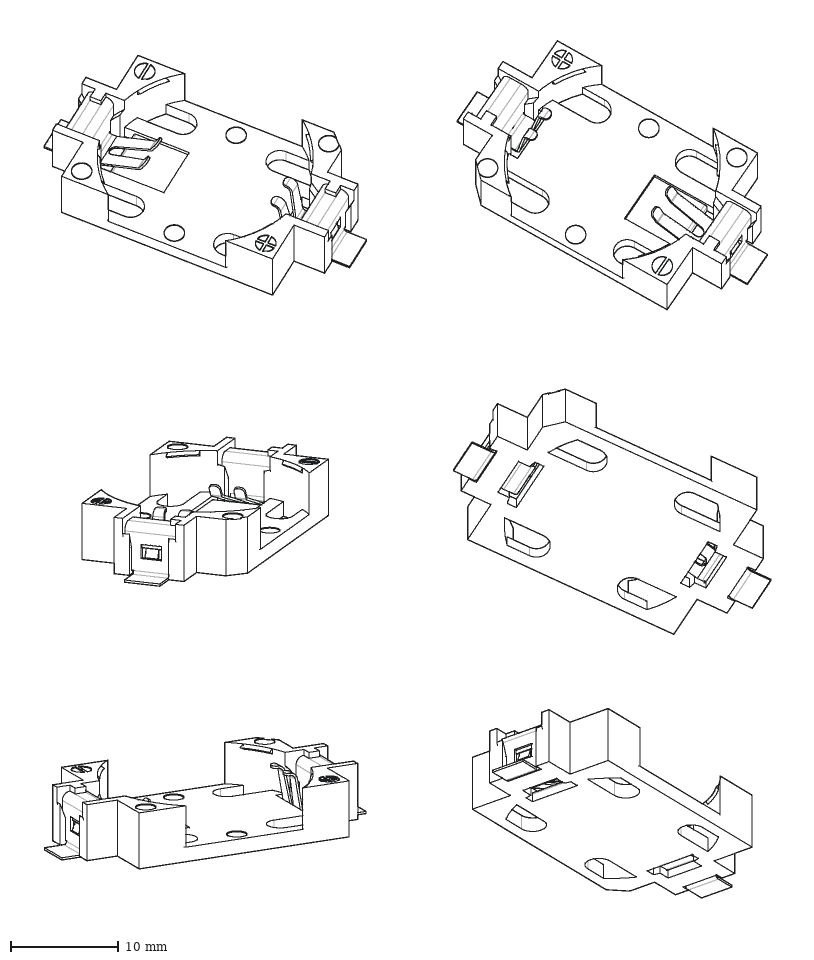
import cadquery as cq
import math

TOTAL_LENGTH = 31.9
BODY_LENGTH = 22.0
BODY_WIDTH = 16.0
BODY_HEIGHT = 5.5
FLOOR_HEIGHT = 1.45
CELL_RADIUS = 10.08
CORNER_CHAMFER = 1.55

TOWER_REACH = 14.2
TOWER_WIDTH = 7.02
CHANNEL_WIDTH = 5.3
SLOT_WIDTH = 3.95
SEAT_LOW = 2.55
SEAT_OUTER_HEIGHT = 4.02
SEAT_INNER_X = 9.83
SEAT_INNER_HEIGHT = 4.05
NUB_LENGTH = 1.12
NUB_REACH = 1.02

SHEET = 0.22
TAB_TOP = 0.05
CONTACT_WIDTH = 3.57
SADDLE_OUTER_X = 13.62
SADDLE_INNER_X = 10.88
SADDLE_TOP = 4.9
SADDLE_RADIUS = 0.8
SADDLE_BEND = SADDLE_RADIUS - SHEET
FOOT_BEND = 0.3
FOOT_TOP = TAB_TOP + FOOT_BEND
SHELF_TOP = 0.83
TIP_ROUNDING = 0.45

WINDOW_WIDTH = 2.05
WINDOW_BOTTOM = 1.6
WINDOW_TOP = 2.97
WEDGE_WIDTH = 1.28
WEDGE_BOTTOM = 1.72
WEDGE_TOP = 2.58
WEDGE_POCKET_DEPTH = 0.1

OPENING_X = 8.77
RECESS_END_X = 3.0
RECESS_DEPTH = 0.38
RECESS_ROUND = 0.25
SIDE_SLOT_WIDTH = 2.58
SIDE_SLOT_Y = 5.5
SIDE_SLOT_START_X = 3.75

RIB_REACH = 0.25
RIB_EDGE_HEIGHT = 5.17
RIB_BOTTOM = 4.98

MARK_DIAMETER = 1.9
MARK_DEPTH = 0.1
MARK_BAR = 0.3
CORNER_MARK_X = 9.6
CORNER_MARK_Y = 6.6
FLOOR_MARK_Y = 6.48

SADDLE_CENTRE_X = (SADDLE_OUTER_X + SADDLE_INNER_X) / 2


def block(x_range, width, z_range):
    """Box centred on Y = 0."""
    length = x_range[1] - x_range[0]
    height = z_range[1] - z_range[0]
    box = cq.Workplane("XY").box(length, width, height, centered=(False, True, False))
    return box.translate((x_range[0], 0, z_range[0]))


def profile(points, width):
    """Closed XZ outline extruded symmetrically about Y = 0."""
    return cq.Workplane("XZ").polyline(points).close().extrude(width / 2, both=True)


def mirrored(shape):
    """The same shape at the other end of the holder."""
    return shape.mirror("YZ")


def outer_block():
    half_length = BODY_LENGTH / 2
    body = block((-half_length, half_length), BODY_WIDTH, (0, BODY_HEIGHT))
    body = body.edges("|Z and >X and >Y").chamfer(CORNER_CHAMFER)
    return body.union(block((-TOWER_REACH, TOWER_REACH), TOWER_WIDTH, (0, BODY_HEIGHT)))


def cell_cylinder(bottom):
    return cq.Workplane("XY").workplane(offset=bottom).circle(CELL_RADIUS).extrude(BODY_HEIGHT - bottom)


def side_slot(x_sign, y_sign):
    """Floor slot with a round inner end, bounded outside by the cell wall."""
    length = CELL_RADIUS
    slot = cq.Workplane("XY").slot2D(length, SIDE_SLOT_WIDTH).extrude(FLOOR_HEIGHT)
    centre_x = SIDE_SLOT_START_X + length / 2
    slot = slot.translate((x_sign * centre_x, y_sign * SIDE_SLOT_Y, 0))
    return slot.intersect(cell_cylinder(0))


def snap_ribs():
    """Triangular ribs on the cell wall, one above every side slot."""
    section = [
        (CELL_RADIUS, BODY_HEIGHT),
        (CELL_RADIUS - RIB_REACH, RIB_EDGE_HEIGHT),
        (CELL_RADIUS, RIB_BOTTOM),
    ]
    ring = cq.Workplane("XZ").polyline(section).close().revolve(360, (0, 0, 0), (0, 1, 0))
    bands = cq.Workplane("XY").pushPoints([(0, SIDE_SLOT_Y), (0, -SIDE_SLOT_Y)])
    bands = bands.rect(2 * CELL_RADIUS, SIDE_SLOT_WIDTH).extrude(BODY_HEIGHT)
    return ring.intersect(bands)


def contact_channel():
    """Seat for the contact in the -X tower: a V-sided channel above a narrower slot."""
    inner_slope = (SEAT_INNER_HEIGHT - SEAT_LOW) / (SADDLE_INNER_X - SEAT_INNER_X)
    run_out = (BODY_HEIGHT - SEAT_LOW) / inner_slope
    outline = [
        (-TOWER_REACH, BODY_HEIGHT),
        (-TOWER_REACH, SEAT_OUTER_HEIGHT),
        (-SADDLE_OUTER_X, SEAT_LOW),
        (-SADDLE_INNER_X, SEAT_LOW),
        (-SADDLE_INNER_X + run_out, BODY_HEIGHT),
    ]
    slot = block((-TOWER_REACH, -SEAT_INNER_X), SLOT_WIDTH, (0, BODY_HEIGHT))
    return profile(outline, CHANNEL_WIDTH).union(slot)


def floor_opening():
    """Opening in the floor beside the -X contact, bounded outside by the cell wall."""
    opening = block((-CELL_RADIUS, -OPENING_X), CHANNEL_WIDTH, (0, FLOOR_HEIGHT))
    return opening.intersect(cell_cylinder(0))


def spring_recess():
    """Shallow floor recess under the long spring, rounded off at the opening."""
    recess_floor = FLOOR_HEIGHT - RECESS_DEPTH
    recess = block((-OPENING_X, -RECESS_END_X), CHANNEL_WIDTH, (recess_floor, FLOOR_HEIGHT))
    round_x = -OPENING_X + RECESS_ROUND
    round_z = recess_floor - RECESS_ROUND
    edge = block((-OPENING_X, round_x), CHANNEL_WIDTH, (round_z, recess_floor))
    roller = cq.Workplane("XZ").center(round_x, round_z)
    roller = roller.circle(RECESS_ROUND).extrude(CHANNEL_WIDTH, both=True)
    return recess.union(edge.cut(roller))


def contact_core():
    """Plastic filling under the -X saddle, its latch wedge and the nub over the saddle."""
    core_face = -SADDLE_OUTER_X + SHEET
    core = block((core_face, -SADDLE_INNER_X - SHEET), CHANNEL_WIDTH, (0, SADDLE_TOP - SHEET))
    core = core.edges("|Y and >Z").fillet(SADDLE_BEND)
    pocket_face = core_face + WEDGE_POCKET_DEPTH
    core = core.cut(block((core_face, pocket_face), WINDOW_WIDTH, (WINDOW_BOTTOM, WEDGE_TOP)))
    wedge_outline = [
        (pocket_face, WEDGE_TOP),
        (-SADDLE_OUTER_X, WEDGE_BOTTOM),
        (pocket_face, WEDGE_BOTTOM),
    ]
    nub_height = BODY_HEIGHT - SADDLE_TOP
    nub = cq.Workplane("XY").box(NUB_LENGTH, NUB_REACH, nub_height, centered=(True, False, False))
    nub = nub.translate((-SADDLE_CENTRE_X, CHANNEL_WIDTH / 2 - NUB_REACH, SADDLE_TOP))
    return core.union(profile(wedge_outline, WEDGE_WIDTH)).union(nub)


def round_mark(x, y, top, bars=()):
    """Shallow round recess to cut, leaving the given (length, width) bars standing."""
    base = cq.Workplane("XY").workplane(offset=top - MARK_DEPTH).center(x, y)
    mark = base.circle(MARK_DIAMETER / 2).extrude(MARK_DEPTH)
    for length, width in bars:
        mark = mark.cut(base.rect(length, width).extrude(MARK_DEPTH))
    return mark


def marks():
    bar_x = (MARK_DIAMETER, MARK_BAR)
    bar_y = (MARK_BAR, MARK_DIAMETER)
    return [
        round_mark(-CORNER_MARK_X, CORNER_MARK_Y, BODY_HEIGHT, [bar_y]),
        round_mark(-CORNER_MARK_X, -CORNER_MARK_Y, BODY_HEIGHT),
        round_mark(CORNER_MARK_X, CORNER_MARK_Y, BODY_HEIGHT),
        round_mark(CORNER_MARK_X, -CORNER_MARK_Y, BODY_HEIGHT, [bar_x, bar_y]),
        round_mark(0, FLOOR_MARK_Y, FLOOR_HEIGHT),
        round_mark(0, -FLOOR_MARK_Y, FLOOR_HEIGHT),
    ]


def plastic_body():
    body = outer_block().cut(cell_cylinder(FLOOR_HEIGHT))
    for x_sign in (-1, 1):
        for y_sign in (-1, 1):
            body = body.cut(side_slot(x_sign, y_sign))
    body = body.union(snap_ribs())
    body = body.cut(contact_channel()).cut(mirrored(contact_channel()))
    body = body.cut(floor_opening()).cut(mirrored(floor_opening()))
    body = body.cut(spring_recess())
    body = body.union(contact_core()).union(mirrored(contact_core()))
    for mark in marks():
        body = body.cut(mark)
    return body


def bent_sheet(corners, width):
    """Sheet whose upper skin runs through (x, z, inner bend radius); the metal lies on its right."""
    skin = [(x, z) for x, z, _ in corners]
    headings = [math.atan2(b[1] - a[1], b[0] - a[0]) for a, b in zip(skin, skin[1:])]
    before = [headings[0]] + headings
    after = headings + [headings[-1]]
    back = []
    for (x, z), first, second in zip(skin, before, after):
        middle = (first + second) / 2
        mitre = SHEET / math.cos((second - first) / 2)
        back.append((x + mitre * math.sin(middle), z - mitre * math.cos(middle)))
    sheet = profile(skin + back[::-1], width)
    for i, (x, z, radius) in enumerate(corners):
        if radius == 0:
            continue
        turns_left = after[i] > before[i]
        skin_radius = radius if turns_left else radius + SHEET
        back_radius = radius + SHEET if turns_left else radius
        sheet = sheet.edges(cq.selectors.NearestToPointSelector((x, 0, z))).fillet(skin_radius)
        back_point = (back[i][0], 0, back[i][1])
        sheet = sheet.edges(cq.selectors.NearestToPointSelector(back_point)).fillet(back_radius)
    return sheet


def contact(spring_corners, notch, tip_x):
    """Contact for the -X end: solder tab, saddle over the tower and a forked spring."""
    corners = [
        (-TOTAL_LENGTH / 2, TAB_TOP, 0),
        (-SADDLE_OUTER_X, TAB_TOP, FOOT_BEND),
        (-SADDLE_OUTER_X, SADDLE_TOP, SADDLE_BEND),
        (-SADDLE_INNER_X, SADDLE_TOP, SADDLE_BEND),
        (-SADDLE_INNER_X, SHELF_TOP, FOOT_BEND),
    ] + spring_corners
    saddle_x = (-SADDLE_OUTER_X, -SADDLE_INNER_X)
    legs = bent_sheet(corners, SLOT_WIDTH).intersect(block(saddle_x, SLOT_WIDTH, (FOOT_TOP, BODY_HEIGHT)))
    saddle = bent_sheet(corners, CHANNEL_WIDTH)
    saddle = saddle.intersect(block(saddle_x, CHANNEL_WIDTH, (SEAT_LOW, BODY_HEIGHT)))
    strip = bent_sheet(corners, CONTACT_WIDTH).cut(notch)
    strip = strip.cut(block(saddle_x, CONTACT_WIDTH, (FOOT_TOP, BODY_HEIGHT)))
    tip_box = cq.selectors.BoxSelector(
        (tip_x - 0.32, -CONTACT_WIDTH, FLOOR_HEIGHT), (tip_x + 0.32, CONTACT_WIDTH, BODY_HEIGHT)
    )
    tip_corners = strip.edges(tip_box).filter(lambda edge: abs(edge.Length() - SHEET) < SHEET / 100)
    strip = tip_corners.fillet(TIP_ROUNDING)
    window = block((-SADDLE_OUTER_X, -SADDLE_OUTER_X + SHEET), WINDOW_WIDTH, (WINDOW_BOTTOM, WINDOW_TOP))
    return strip.union(legs).union(saddle).cut(window)


def fork_notch(plane, root, root_half, tip, tip_half):
    """Tapered notch between the fingers, drawn along one axis with a round root."""
    straight = root + root_half
    outline = cq.Workplane(plane).moveTo(-tip_half, tip).lineTo(-root_half, straight)
    outline = outline.threePointArc((0, root), (root_half, straight)).lineTo(tip_half, tip).close()
    return outline.extrude(BODY_LENGTH / 2, both=True)


def long_spring():
    """Contact under the cell: two fingers rising over the floor recess."""
    tip_x = -5.33
    corners = [
        (-10.1, SHELF_TOP, 0),
        (-6.05, 2.42, 0.13),
        (tip_x - 0.13, 3.55, 0),
    ]
    lengthwise = cq.Plane(origin=(0, 0, 0), xDir=(0, 1, 0), normal=(0, 0, -1))
    notch = fork_notch(lengthwise, root=-10.0, root_half=0.5, tip=tip_x + 0.32, tip_half=0.73)
    return contact(corners, notch, tip_x)


def tall_spring():
    """Contact beside the cell: two upright fingers with inward bent tips."""
    tip_x = -7.6
    corners = [
        (-9.35, SHELF_TOP, 0.25),
        (-8.65, 4.9, 0.5),
        (tip_x, 4.9, 0),
    ]
    notch = fork_notch("YZ", root=1.1, root_half=0.38, tip=BODY_HEIGHT, tip_half=0.8)
    notch = notch.intersect(block((-SADDLE_INNER_X, 0), CONTACT_WIDTH, (0, BODY_HEIGHT)))
    return contact(corners, notch, tip_x)


result = plastic_body().union(long_spring()).union(mirrored(tall_spring()))